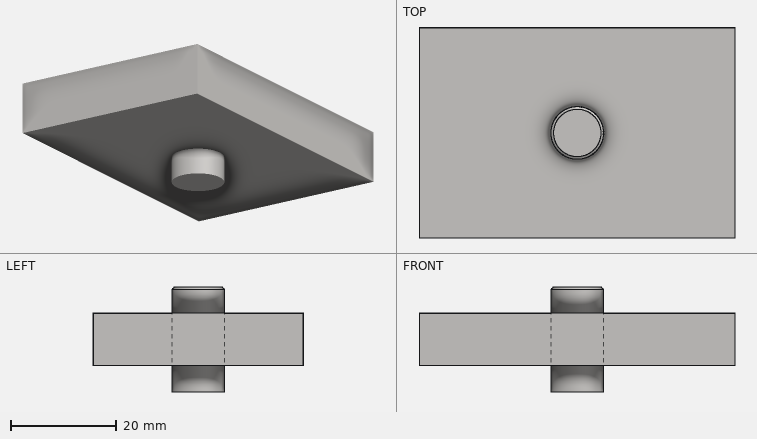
import cadquery as cq

plate_length = 60.0
plate_width = plate_length * 2 / 3
plate_thickness = plate_length / 6
pin_diameter = plate_thickness
pin_length = 2 * plate_thickness
pin_chamfer = 0.5


def make_plate():
    """Rectangular plate, centred on the origin, with a through hole for the pin."""
    plate = cq.Workplane("XY").box(plate_length, plate_width, plate_thickness)
    return plate.faces(">Z").workplane().hole(pin_diameter)


def make_pin():
    """Round pin standing out equally above and below the plate, chamfered at its top."""
    pin = cq.Workplane("XY").circle(pin_diameter / 2).extrude(pin_length / 2, both=True)
    return pin.faces(">Z").edges().chamfer(pin_chamfer)


plate = make_plate()
pin = make_pin()

result = cq.Compound.makeCompound([plate.val(), pin.val()])